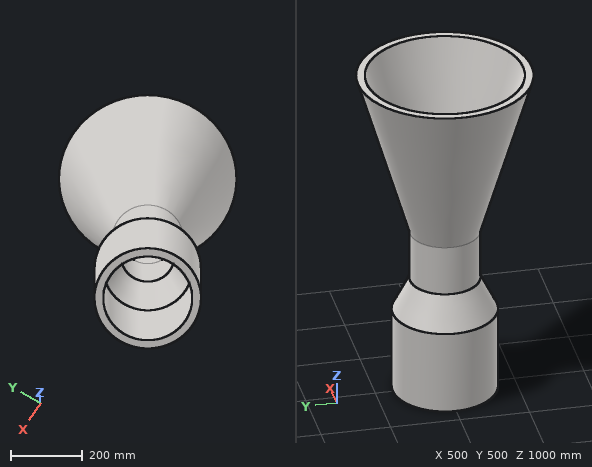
import cadquery as cq

wall = 25.0

base_radius = 150.0
neck_radius = 100.0
mouth_radius = 250.0

base_height = 250.0
shoulder_height = 100.0
neck_height = 150.0
funnel_height = 500.0

shoulder_bottom = base_height
neck_bottom = shoulder_bottom + shoulder_height
funnel_bottom = neck_bottom + neck_height
top = funnel_bottom + funnel_height

outer_profile = [
    (base_radius, 0),
    (base_radius, shoulder_bottom),
    (neck_radius, neck_bottom),
    (neck_radius, funnel_bottom),
    (mouth_radius, top),
]

inner_profile = [(radius - wall, height) for radius, height in reversed(outer_profile)]

result = (
    cq.Workplane("XZ")
    .polyline(outer_profile + inner_profile)
    .close()
    .revolve(360, (0, 0), (0, 1))
)